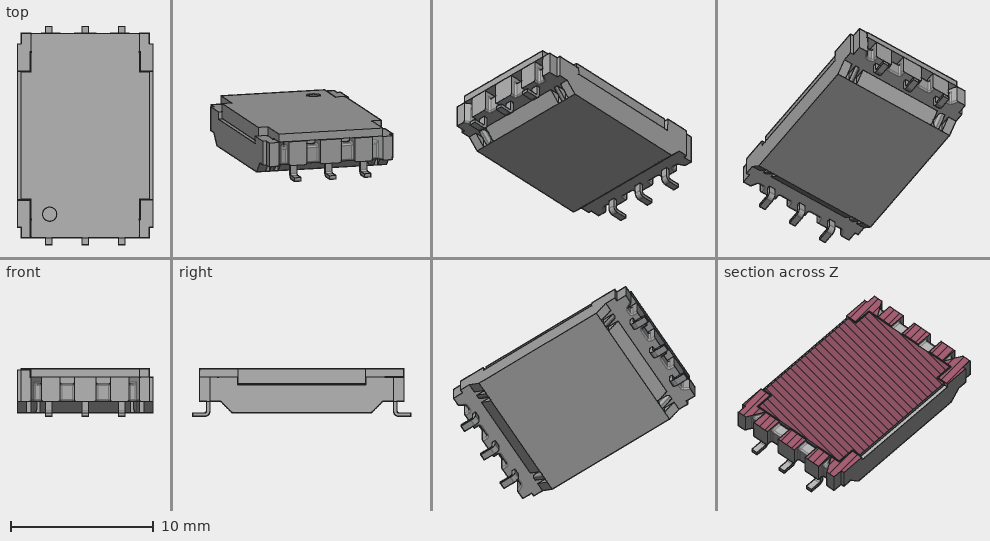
import cadquery as cq
import math

BASE_WIDTH = 9.5
BASE_LENGTH = 14.35
BASE_BOTTOM = 0.26
LEDGE_BOTTOM = 1.05
POST_TOP = 2.75
TALL_POST_TOP = 3.26
KEEL_LENGTH = 9.78
NOTCH_START = 6.43
CORNER_WIDTH = 9.0
EDGE_RADIUS = 0.12

POCKET_FLOOR = 2.23
POCKET_DRAFT = 2.5
SADDLE_LENGTH = 8.98
POCKET_WIDTH = 7.68
POCKET_LENGTH = 11.75

MIDDLE_BLOCK_WIDTH = 1.53
SIDE_BLOCK_INNER = 1.76
SIDE_BLOCK_OUTER = 3.06
WALL_FACE = 6.73
WALL_TOP = 2.28
POST_INNER = 3.8

SLOT_INNER = 3.17
SLOT_OUTER = 4.1
RIB_INNER = 3.4
RIB_OUTER = 3.81
RIB_RADIUS = 0.2

OVERALL_LENGTH = 15.3
PIN_PITCH = 2.55
PIN_WIDTH = 0.47
PIN_THICKNESS = 0.26
PIN_INNER_FACE = 6.43
PIN_BEND_RADIUS = 0.12

COVER_TOP = 3.35
COVER_BOTTOM = 2.28
COVER_LENGTH = 14.32
COVER_WIDTH = 9.0
COVER_WAIST = 7.59
COVER_EAR_LENGTH = 8.9
PLUG_LENGTH = 11.66
END_PLATE_BOTTOM = 2.78
DOT_DIAMETER = 1.0
DOT_DEPTH = 0.09
DOT_X = -2.5
DOT_Y = -5.51

HALF_LENGTH = BASE_LENGTH / 2
HALF_KEEL = KEEL_LENGTH / 2
SLOPE_RUN = LEDGE_BOTTOM - BASE_BOTTOM
CLEAR = 0.76


def block(x0, x1, y0, y1, z0, z1):
    """Box between two opposite corners."""
    return cq.Workplane("XY").box(x1 - x0, y1 - y0, z1 - z0, centered=False).translate((x0, y0, z0))


def centred_block(width, length, z0, z1):
    """Box centred on the Z axis."""
    return block(-width / 2, width / 2, -length / 2, length / 2, z0, z1)


def prism(points, z0, z1):
    """Upright prism over a polygon in X, Y."""
    return cq.Workplane("XY").workplane(offset=z0).polyline(points).close().extrude(z1 - z0)


def at_both_ends(shape):
    """The shape at the -Y end together with its mirror image at +Y."""
    return shape.union(shape.mirror("XZ"))


def on_both_sides(shape):
    """The shape on the +X side together with its mirror image on -X."""
    return shape.union(shape.mirror("YZ"))


def base_envelope():
    profile = [
        (-HALF_LENGTH, LEDGE_BOTTOM),
        (-HALF_KEEL - SLOPE_RUN, LEDGE_BOTTOM),
        (-HALF_KEEL, BASE_BOTTOM),
        (HALF_KEEL, BASE_BOTTOM),
        (HALF_KEEL + SLOPE_RUN, LEDGE_BOTTOM),
        (HALF_LENGTH, LEDGE_BOTTOM),
        (HALF_LENGTH, POST_TOP),
        (-HALF_LENGTH, POST_TOP),
    ]
    body = cq.Workplane("YZ").polyline(profile).close().extrude(BASE_WIDTH / 2, both=True)
    tall_post = block(-BASE_WIDTH / 2, 0, -HALF_LENGTH, 0, POST_TOP, TALL_POST_TOP)
    body = body.union(tall_post)
    notch = block(CORNER_WIDTH / 2, BASE_WIDTH, -BASE_LENGTH, -NOTCH_START, 0, COVER_TOP)
    return body.cut(at_both_ends(on_both_sides(notch)))


def drafted_pocket(width, length, floor):
    """Pocket cutter whose walls lean outward going up."""
    height = COVER_TOP - floor
    sketch = cq.Workplane("XY").workplane(offset=floor).rect(width, length)
    return sketch.extrude(height, taper=-POCKET_DRAFT)


def cover_pocket():
    lean = (POST_TOP - POCKET_FLOOR) * math.tan(math.radians(POCKET_DRAFT))
    saddle = drafted_pocket(BASE_WIDTH + CLEAR, SADDLE_LENGTH, POCKET_FLOOR)
    plug_room = drafted_pocket(POCKET_WIDTH, POCKET_LENGTH, POCKET_FLOOR)
    end_room = drafted_pocket(POCKET_WIDTH + 2 * lean, BASE_LENGTH + CLEAR, POST_TOP)
    return saddle.union(plug_room).union(end_room)


def middle_gap(z0, z1, back):
    """Gap between the middle and side blocks, reaching in to Y = back."""
    return block(MIDDLE_BLOCK_WIDTH / 2, SIDE_BLOCK_INNER, -HALF_LENGTH, back, z0, z1)


def side_gap(z0, z1, back):
    """Gap between a side block and the slanted post face, reaching in to Y = back."""
    apex = -POCKET_LENGTH / 2
    slant = (POST_INNER - SIDE_BLOCK_OUTER) / (HALF_LENGTH + apex)
    back_x = SIDE_BLOCK_OUTER + slant * (apex - back)
    points = [
        (SIDE_BLOCK_OUTER, -HALF_LENGTH),
        (POST_INNER, -HALF_LENGTH),
        (back_x, back),
    ]
    if back < apex:
        points.append((SIDE_BLOCK_OUTER, back))
    return prism(points, z0, z1)


def end_gaps():
    """Gaps down to the underside at the ends, with shallower wire grooves over the walls."""
    deep_middle = middle_gap(LEDGE_BOTTOM, POST_TOP, -WALL_FACE)
    deep_side = side_gap(LEDGE_BOTTOM, POST_TOP, -WALL_FACE)
    deep = deep_middle.union(deep_side).edges("|Z").edges(">Y").fillet(EDGE_RADIUS)
    groove = middle_gap(WALL_TOP, POST_TOP, -POCKET_LENGTH / 2)
    groove = groove.faces("<Z").edges("|Y").fillet(EDGE_RADIUS)
    side_groove = side_gap(WALL_TOP, POST_TOP, -POCKET_LENGTH / 2)
    side_groove = side_groove.faces("<Z").edges("not <Y").fillet(EDGE_RADIUS)
    return at_both_ends(on_both_sides(deep.union(groove).union(side_groove)))


def wire_slots():
    """Slots that square off the sloped underside, each around a sloped rib with one round edge."""
    slot = block(SLOT_INNER, SLOT_OUTER, -HALF_LENGTH, -HALF_KEEL, 0, LEDGE_BOTTOM)
    profile = [
        (-HALF_KEEL, BASE_BOTTOM),
        (-HALF_KEEL - SLOPE_RUN, LEDGE_BOTTOM),
        (-HALF_KEEL, LEDGE_BOTTOM),
    ]
    rib = cq.Workplane("YZ").workplane(offset=RIB_INNER).polyline(profile).close()
    rib = rib.extrude(RIB_OUTER - RIB_INNER)
    slope_middle = (RIB_INNER, -HALF_KEEL - SLOPE_RUN / 2, BASE_BOTTOM + SLOPE_RUN / 2)
    rib = rib.edges(cq.selectors.NearestToPointSelector(slope_middle)).fillet(RIB_RADIUS)
    return at_both_ends(on_both_sides(slot.cut(rib)))


def end_wall_roundings(body):
    """Round the top and bottom edges of the walls between the blocks, one wall at a time."""
    middle_x = (MIDDLE_BLOCK_WIDTH / 2 + SIDE_BLOCK_INNER) / 2
    side_x = SIDE_BLOCK_OUTER + 2 * EDGE_RADIUS
    for z in (LEDGE_BOTTOM, WALL_TOP):
        for y in (-WALL_FACE, WALL_FACE):
            for x in (-side_x, -middle_x, middle_x, side_x):
                wall_edge = cq.selectors.NearestToPointSelector((x, y, z))
                body = body.edges(wall_edge).fillet(EDGE_RADIUS)
    return body


def pin(x):
    """Gull-wing pin at the -Y end."""
    outer_radius = PIN_BEND_RADIUS + PIN_THICKNESS
    tip = -OVERALL_LENGTH / 2
    inner = -PIN_INNER_FACE
    outer = inner - PIN_THICKNESS
    outline = [
        (tip, 0),
        (inner, 0),
        (inner, LEDGE_BOTTOM),
        (outer, LEDGE_BOTTOM),
        (outer, PIN_THICKNESS),
        (tip, PIN_THICKNESS),
    ]
    shape = cq.Workplane("YZ").polyline(outline).close().extrude(PIN_WIDTH / 2, both=True)
    shape = shape.edges(cq.selectors.NearestToPointSelector((0, inner, 0))).fillet(outer_radius)
    inside_bend = cq.selectors.NearestToPointSelector((0, outer, PIN_THICKNESS))
    return shape.edges(inside_bend).fillet(PIN_BEND_RADIUS).translate((x, 0, 0))


def make_base():
    body = base_envelope().cut(cover_pocket()).cut(end_gaps())
    body = end_wall_roundings(body)
    body = body.cut(wire_slots())
    for x in (-PIN_PITCH, 0, PIN_PITCH):
        body = body.union(at_both_ends(pin(x)))
    return body


def make_cover():
    ears = centred_block(COVER_WIDTH, COVER_EAR_LENGTH, COVER_BOTTOM, COVER_TOP)
    plug = centred_block(COVER_WAIST, PLUG_LENGTH, COVER_BOTTOM, COVER_TOP)
    plate = centred_block(COVER_WAIST, COVER_LENGTH, END_PLATE_BOTTOM, COVER_TOP)
    dot = cq.Workplane("XY").workplane(offset=COVER_TOP - DOT_DEPTH)
    dot = dot.center(DOT_X, DOT_Y).circle(DOT_DIAMETER / 2).extrude(DOT_DEPTH)
    return ears.union(plug).union(plate).cut(dot)


base = make_base()
cover = make_cover()
result = cq.Compound.makeCompound([base.val(), cover.val()])